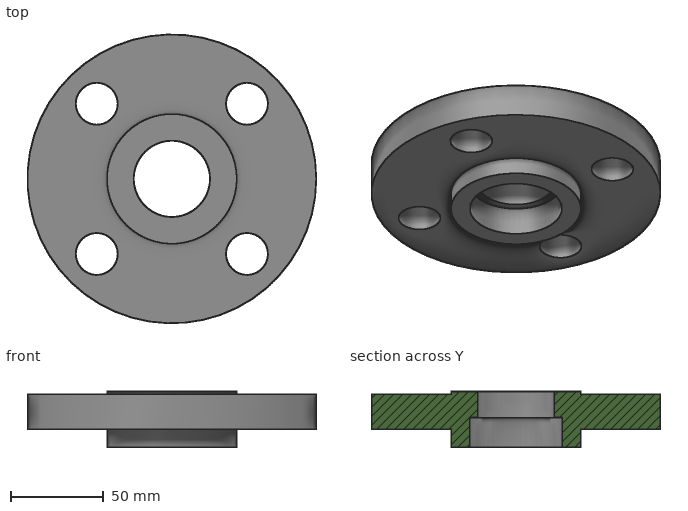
import cadquery as cq

flange_diameter = 155.5
flange_thickness = 19.0
face_diameter = 69.8
face_height = 1.5
hub_diameter = face_diameter
hub_height = 9.6

bore_diameter = 40.9
socket_diameter = 49.5
socket_depth = 16.0

bolt_hole_count = 4
bolt_hole_diameter = 22.4
bolt_circle_diameter = 114.3
first_bolt_angle = 45.0

total_height = hub_height + flange_thickness + face_height


def cylinder(diameter, height, base_z):
    return cq.Workplane("XY").workplane(offset=base_z).circle(diameter / 2).extrude(height)


hub = cylinder(hub_diameter, hub_height, 0)
plate = cylinder(flange_diameter, flange_thickness, hub_height)
raised_face = cylinder(face_diameter, face_height, hub_height + flange_thickness)
body = plate.union(hub).union(raised_face)

bore = cylinder(bore_diameter, total_height, 0)
socket = cylinder(socket_diameter, socket_depth, 0)

bolt_holes = (
    cq.Workplane("XY")
    .workplane(offset=hub_height)
    .polarArray(bolt_circle_diameter / 2, first_bolt_angle, 360, bolt_hole_count)
    .circle(bolt_hole_diameter / 2)
    .extrude(flange_thickness)
)

result = body.cut(bore).cut(socket).cut(bolt_holes)